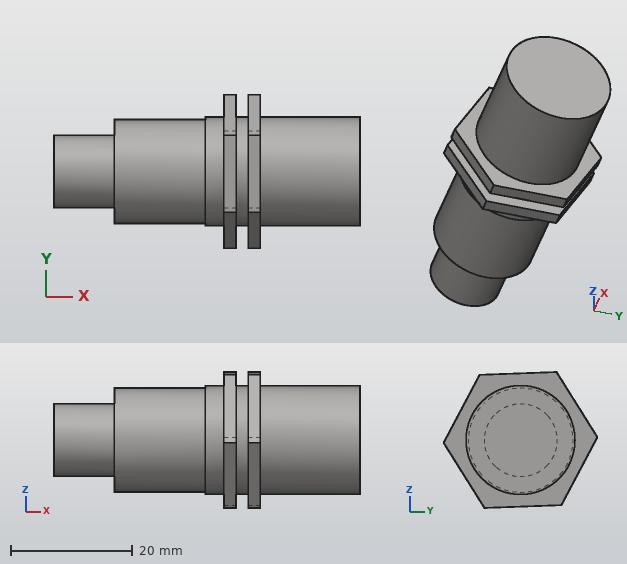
import cadquery as cq

total_length = 50.5
tail_length = 10.0
tail_diameter = 12.0
sleeve_length = 15.0
sleeve_diameter = 17.2
barrel_diameter = 18.0

nut_across_corners = 25.4
nut_thickness = 2.0
nut_gap = 1.95
nut_offset = 3.05
nut_tilt = 2.1

sleeve_start = tail_length
barrel_start = sleeve_start + sleeve_length
barrel_length = total_length - barrel_start
first_nut_start = barrel_start + nut_offset
nut_pitch = nut_thickness + nut_gap


def cylinder(start, length, diameter):
    """Round section along X."""
    return cq.Workplane("YZ", origin=(start, 0, 0)).circle(diameter / 2).extrude(length)


def nut(start):
    """Plain hexagonal plate, turned slightly about X."""
    hexagon = cq.Workplane("YZ", origin=(start, 0, 0)).polygon(6, nut_across_corners)
    return hexagon.extrude(nut_thickness).rotate((0, 0, 0), (1, 0, 0), nut_tilt)


tail = cylinder(0, tail_length, tail_diameter)
sleeve = cylinder(sleeve_start, sleeve_length, sleeve_diameter)
barrel = cylinder(barrel_start, barrel_length, barrel_diameter)

result = tail.union(sleeve).union(barrel)
for index in range(2):
    result = result.union(nut(first_nut_start + index * nut_pitch))